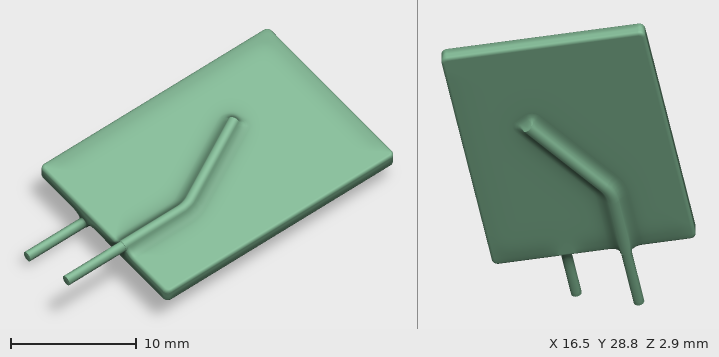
import cadquery as cq
import math

PLATE_WIDTH = 16.5
PLATE_LENGTH = 23.1
PLATE_THICKNESS = 1.3
CORNER_RADIUS = 0.5
EDGE_FILLET = 0.25

TOTAL_LENGTH = 28.78
TOTAL_HEIGHT = 2.9
LEAD_RADIUS = 0.43
LEAD_HEIGHT = 0.98
LEAD_OFFSET = 2.53
SLEEVE_LENGTH = 1.6

CREST_RADIUS = 0.5
FLANK_RADIUS = 0.95
BEND_RADIUS = 3.0
STRAIGHT_LENGTH = 5.75
UPPER_BEND_ANGLE = 29
UPPER_SLANTED_LENGTH = 8.7
LOWER_BEND_ANGLE = 32.3
LOWER_SLANTED_LENGTH = 8.9
OVERLAP = 0.3

HALF_TURN = 180
FULL_TURN = 360
HALF_THICKNESS = PLATE_THICKNESS / 2
CREST_HEIGHT = TOTAL_HEIGHT / 2 - CREST_RADIUS
LEAD_LENGTH = TOTAL_LENGTH - PLATE_LENGTH - SLEEVE_LENGTH

ARC_HEIGHT = HALF_THICKNESS + FLANK_RADIUS
CENTRE_DISTANCE = CREST_RADIUS + FLANK_RADIUS
ARC_OFFSET = math.sqrt(CENTRE_DISTANCE**2 - (ARC_HEIGHT - CREST_HEIGHT) ** 2)
CREST_HALF_WIDTH = CREST_RADIUS * ARC_OFFSET / CENTRE_DISTANCE
SHOULDER_HEIGHT = CREST_HEIGHT + CREST_RADIUS * (ARC_HEIGHT - CREST_HEIGHT) / CENTRE_DISTANCE
CAP_LENGTH = ARC_OFFSET - CREST_HALF_WIDTH


def flank_midpoint(arc_offset):
    """Middle of the flank arc whose centre lies arc_offset from the profile's middle."""
    start = math.atan2(SHOULDER_HEIGHT - ARC_HEIGHT, -CAP_LENGTH)
    middle = (start - math.pi / 2) / 2
    return (
        arc_offset + FLANK_RADIUS * math.cos(middle),
        ARC_HEIGHT + FLANK_RADIUS * math.sin(middle),
    )


def ridge_profile():
    """Cross section of a ridge: round crest between two concave flanks."""
    base = HALF_THICKNESS - OVERLAP
    middle_x, middle_z = flank_midpoint(ARC_OFFSET)
    return (
        cq.Workplane("XZ")
        .moveTo(-ARC_OFFSET, base)
        .lineTo(-ARC_OFFSET, HALF_THICKNESS)
        .threePointArc((-middle_x, middle_z), (-CREST_HALF_WIDTH, SHOULDER_HEIGHT))
        .threePointArc((0, TOTAL_HEIGHT / 2), (CREST_HALF_WIDTH, SHOULDER_HEIGHT))
        .threePointArc((middle_x, middle_z), (ARC_OFFSET, HALF_THICKNESS))
        .lineTo(ARC_OFFSET, base)
        .close()
    )


def cap_profile(plane):
    """Half section of the ridge end, falling from the shoulder height to the plate face."""
    base = HALF_THICKNESS - OVERLAP
    return (
        cq.Workplane(plane)
        .moveTo(0, base)
        .lineTo(0, SHOULDER_HEIGHT)
        .threePointArc(flank_midpoint(CAP_LENGTH), (CAP_LENGTH, HALF_THICKNESS))
        .lineTo(CAP_LENGTH, base)
        .close()
    )


def ridge_cap():
    """Sloping end of a ridge, running toward +Y from the origin, with rounded corners."""
    cap = cap_profile("YZ").extrude(CREST_HALF_WIDTH, both=True)
    corner = cap_profile("XZ").revolve(FULL_TURN, (0, 0), (0, 1))
    for side in (-1, 1):
        cap = cap.union(corner.translate((side * CREST_HALF_WIDTH, 0, 0)))
    return cap


def make_ridge(bend_angle, slanted_length):
    """Bent ridge on the upper face, over the lead on the +X side."""
    straight = ridge_profile().extrude(-STRAIGHT_LENGTH)
    bend = ridge_profile().revolve(bend_angle, (-BEND_RADIUS, 0), (-BEND_RADIUS, 1))
    slanted = ridge_profile().extrude(-slanted_length)
    cap = ridge_cap().translate((0, slanted_length, 0))
    arm = slanted.union(cap)
    arm = arm.rotate((-BEND_RADIUS, 0, 0), (-BEND_RADIUS, 0, 1), bend_angle)
    bent_part = bend.union(arm).translate((0, STRAIGHT_LENGTH, 0))
    return straight.union(bent_part).translate((LEAD_OFFSET, 0, 0))


def bar(radius, height, start, length):
    """Round bar along -Y over the +X lead, from Y = start, with its axis at the given Z height."""
    return (
        cq.Workplane("XZ", origin=(0, start, 0))
        .center(LEAD_OFFSET, height)
        .circle(radius)
        .extrude(length)
    )


def opposite(body):
    """The same shape turned half a turn about the Y axis, onto the lower face."""
    return body.rotate((0, 0, 0), (0, 1, 0), HALF_TURN)


def make_plate():
    """Rectangular plate with rounded corners; its front edge is at Y = 0."""
    return (
        cq.Workplane("XY")
        .box(PLATE_WIDTH, PLATE_LENGTH, PLATE_THICKNESS)
        .edges("|Z")
        .fillet(CORNER_RADIUS)
        .translate((0, PLATE_LENGTH / 2, 0))
    )


def make_housing():
    """Plate with a ridge and a lead sleeve on each face, its rims rounded all the way around."""
    upper_ridge = make_ridge(UPPER_BEND_ANGLE, UPPER_SLANTED_LENGTH)
    lower_ridge = opposite(make_ridge(LOWER_BEND_ANGLE, LOWER_SLANTED_LENGTH))
    housing = make_plate().union(upper_ridge).union(lower_ridge)
    housing = housing.faces("<Y").edges("not |Z").fillet(EDGE_FILLET)

    crest_end = bar(CREST_RADIUS, CREST_HEIGHT, STRAIGHT_LENGTH, STRAIGHT_LENGTH)
    sleeve = bar(LEAD_RADIUS, LEAD_HEIGHT, 0, SLEEVE_LENGTH)
    for feature in (crest_end, sleeve):
        housing = housing.union(feature).union(opposite(feature))
    return housing.solids()


def make_lead(turn):
    """Lead that continues a sleeve, turned about the Y axis onto its face of the plate."""
    lead = bar(LEAD_RADIUS, LEAD_HEIGHT, -SLEEVE_LENGTH, LEAD_LENGTH)
    return lead.rotate((0, 0, 0), (0, 1, 0), turn)


housing = make_housing()

leads = []
for turn in (0, HALF_TURN):
    leads.append(make_lead(turn))

result = cq.Compound.makeCompound([housing.val(), *[lead.val() for lead in leads]])